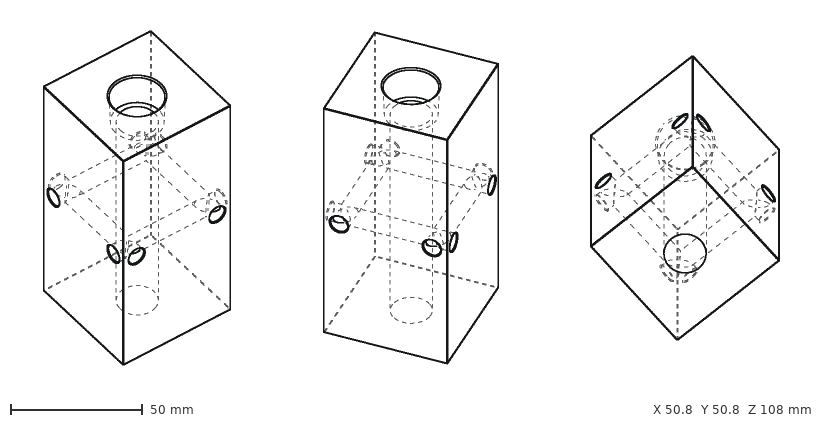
import cadquery as cq

side = 50.8
height = 108.0
edge_chamfer = 0.2

bore_diameter = 16.0
socket_mouth_diameter = 22.6
socket_depth = 13.4
socket_chamfer = 0.6
socket_taper = 1 / 16

cross_diameter = 7.1
cross_spacing = 38.1
cross_chamfer = 0.38


def chamfered_hole(diameter, chamfer, length):
    """Cutter along +Z from the origin, with a chamfered mouth at z = 0 and z = length."""
    radius = diameter / 2
    mouth = radius + chamfer
    return (
        cq.Workplane("XZ")
        .moveTo(0, 0)
        .lineTo(mouth, 0)
        .lineTo(radius, chamfer)
        .lineTo(radius, length - chamfer)
        .lineTo(mouth, length)
        .lineTo(0, length)
        .close()
        .revolve(360, (0, 0, 0), (0, 1, 0))
    )


def tapered_socket():
    """Cutter for the wide upper part of the bore, tapering inward below a chamfered mouth."""
    mouth_radius = socket_mouth_diameter / 2
    top_radius = mouth_radius - socket_chamfer
    taper_length = socket_depth - socket_chamfer
    floor_radius = top_radius - taper_length * socket_taper / 2
    floor = height - socket_depth
    return (
        cq.Workplane("XZ")
        .moveTo(0, floor)
        .lineTo(floor_radius, floor)
        .lineTo(top_radius, height - socket_chamfer)
        .lineTo(mouth_radius, height)
        .lineTo(0, height)
        .close()
        .revolve(360, (0, 0, 0), (0, 1, 0))
    )


result = cq.Workplane("XY").box(side, side, height, centered=(True, True, False))
result = result.edges().chamfer(edge_chamfer)

bore = cq.Workplane("XY").circle(bore_diameter / 2).extrude(height)
result = result.cut(bore).cut(tapered_socket())

cutter = chamfered_hole(cross_diameter, cross_chamfer, side)
along_y = cutter.rotate((0, 0, 0), (1, 0, 0), -90).translate((0, -side / 2, height / 2))
for offset in (-cross_spacing / 2, cross_spacing / 2):
    hole = along_y.translate((offset, 0, 0))
    result = result.cut(hole)
    result = result.cut(hole.rotate((0, 0, 0), (0, 0, 1), 90))